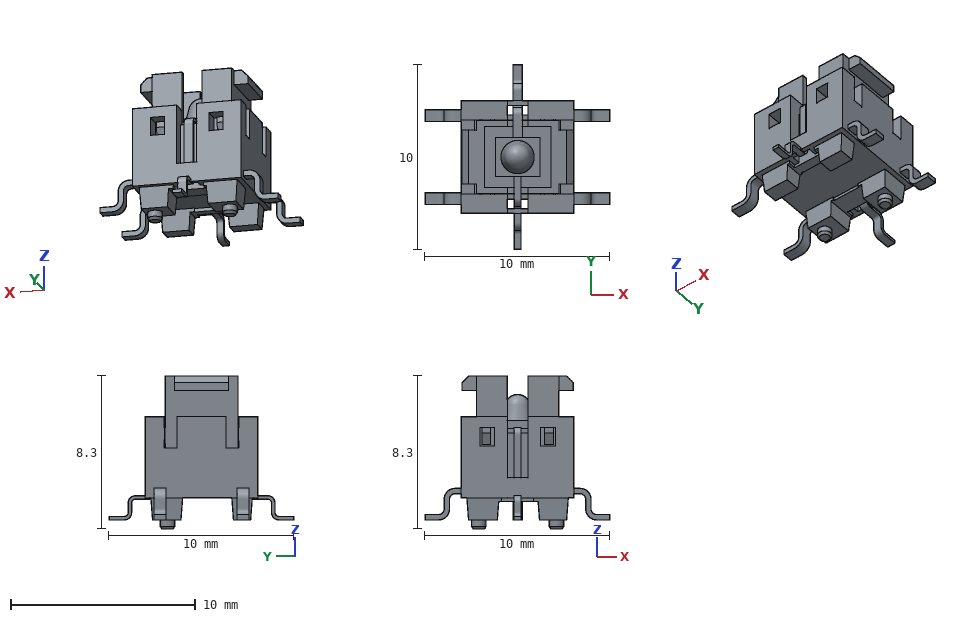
import cadquery as cq
import math


BODY_SIZE = 6.1
BODY_BOTTOM = 1.2
BODY_TOP = 5.6
BODY_HALF = BODY_SIZE / 2

NOTCH_INNER_Y = 1.33
NOTCH_FLOOR = 3.9

PLUNGER_X = 4.47
PLUNGER_Y = 3.95
PLUNGER_TOP = 7.8
POCKET_X = 3.6
POCKET_Y = 3.3
POCKET_FLOOR = NOTCH_FLOOR
PLUNGER_SLOT_FLOOR = 4.95

CAVITY_X = 4.66
CAVITY_Y = 4.02
CAVITY_FLOOR = 2.29

SLOT_WIDTH = 1.11
SLOT_FLOOR = CAVITY_FLOOR
PARTITION_TOP = 4.71
CHANNEL_INNER_Y = 2.29
CHANNEL_OUTER_Y = 2.79

WINDOW_CENTRE_X = 1.645
WINDOW_WIDTH = 0.79
WINDOW_BOTTOM = 4.0
WINDOW_TOP = 5.02
LATCH_CENTRE_X = 1.7
LATCH_WIDTH = 0.48
LATCH_BOTTOM = 4.1
LATCH_BEND = PARTITION_TOP
LATCH_REACH = 0.2

HOOK_TIP_X = 3.02
HOOK_LENGTH = 2.92
HOOK_BOTTOM = 7.0
HOOK_CHAMFER = 0.37

LED_X = 2.4
LED_Y = 2.1
LED_TOP = 5.39
LENS_BASE_RADIUS = 0.9
LENS_RIM_RADIUS = 0.68
LENS_RIM_Z = 6.26
LENS_TIP_Z = 6.8

LEAD_TIP = 5.0
LEAD_OUTER_FACE = 3.98
SWITCH_LEAD_TOP = 1.72
SWITCH_LEAD_THICKNESS = 0.3
SWITCH_LEAD_WIDTH = 0.65
SWITCH_LEAD_Y = 2.25
SWITCH_LEAD_ROOT = BODY_HALF - 0.1
LED_LEAD_TOP = 1.32
LED_LEAD_THICKNESS = 0.2
LED_LEAD_FRONT_WIDTH = 0.38
LED_LEAD_REAR_WIDTH = 0.51
LED_LEAD_DROP_FACE = 2.67
LED_LEAD_HEAD_TOP = WINDOW_TOP

FOOT_TAPER = 0.09
LEFT_FOOT_INNER_X = 1.0
RIGHT_FOOT_INNER_X = 1.09
FOOT_OUTER = 2.75
FRONT_FOOT_INNER_Y = 1.63
REAR_FOOT_INNER_Y = 1.02
WEB_BOTTOM = 1.0
SHOULDER_INNER_X = 0.86
PEG_RADIUS = 0.4
PEG_LENGTH = 0.5
PEG_X = 2.1
PEG_Y = 1.85
PEG_TIP_RADIUS = 0.3
PEG_TIP_HEIGHT = 0.16


def span_box(x0, x1, y0, y1, z0, z1):
    """Box between two opposite corners."""
    size = (x1 - x0, y1 - y0, z1 - z0)
    return cq.Workplane("XY").box(*size, centered=False).translate((x0, y0, z0))


def centred_box(size_x, size_y, z0, z1):
    """Box centred on the Z axis."""
    return span_box(-size_x / 2, size_x / 2, -size_y / 2, size_y / 2, z0, z1)


def y_span_box(width, side, near, far, z0, z1, x=0):
    """Box of the given X width, from |y| = near to |y| = far on one side of the part."""
    y0, y1 = sorted((side * near, side * far))
    return span_box(x - width / 2, x + width / 2, y0, y1, z0, z1)


def make_housing():
    housing = centred_box(BODY_SIZE, BODY_SIZE, BODY_BOTTOM, BODY_TOP)
    housing = housing.cut(centred_box(CAVITY_X, CAVITY_Y, CAVITY_FLOOR, BODY_TOP))
    for side in (-1, 1):
        housing = housing.cut(
            y_span_box(BODY_SIZE, side, NOTCH_INNER_Y, CAVITY_Y / 2, NOTCH_FLOOR, BODY_TOP)
        )
        housing = housing.cut(
            y_span_box(SLOT_WIDTH, side, CAVITY_Y / 2, BODY_HALF, PARTITION_TOP, BODY_TOP)
        )
        housing = housing.cut(
            y_span_box(SLOT_WIDTH, side, CHANNEL_INNER_Y, BODY_HALF, SLOT_FLOOR, BODY_TOP)
        )
        housing = housing.cut(
            y_span_box(SLOT_WIDTH, side, CHANNEL_INNER_Y, CHANNEL_OUTER_Y, BODY_BOTTOM, BODY_TOP)
        )
        for x in (-WINDOW_CENTRE_X, WINDOW_CENTRE_X):
            housing = housing.cut(
                y_span_box(WINDOW_WIDTH, side, PLUNGER_Y / 2, BODY_HALF, WINDOW_BOTTOM, WINDOW_TOP, x)
            )
    return housing


def make_hook():
    """Hook at the +X side, chamfered along its upper outer edge."""
    root = POCKET_X / 2
    return (
        cq.Workplane("XZ")
        .moveTo(root, HOOK_BOTTOM)
        .lineTo(HOOK_TIP_X, HOOK_BOTTOM)
        .lineTo(HOOK_TIP_X, PLUNGER_TOP - HOOK_CHAMFER)
        .lineTo(HOOK_TIP_X - HOOK_CHAMFER, PLUNGER_TOP)
        .lineTo(root, PLUNGER_TOP)
        .close()
        .extrude(HOOK_LENGTH / 2, both=True)
    )


def make_latch(x):
    """Latch on the -Y face of the plunger, with a sloping underside."""
    face = -PLUNGER_Y / 2
    return (
        cq.Workplane("YZ", origin=(x, 0, 0))
        .moveTo(face, LATCH_BOTTOM)
        .lineTo(face - LATCH_REACH, LATCH_BEND)
        .lineTo(face - LATCH_REACH, WINDOW_TOP)
        .lineTo(face, WINDOW_TOP)
        .close()
        .extrude(LATCH_WIDTH / 2, both=True)
    )


def make_plunger():
    plunger = centred_box(PLUNGER_X, PLUNGER_Y, CAVITY_FLOOR, PLUNGER_TOP)
    hook = make_hook()
    plunger = plunger.union(hook).union(hook.mirror("YZ"))
    plunger = plunger.cut(centred_box(POCKET_X, POCKET_Y, POCKET_FLOOR, PLUNGER_TOP))
    for side in (-1, 1):
        plunger = plunger.cut(
            y_span_box(SLOT_WIDTH, side, POCKET_Y / 2, PLUNGER_Y / 2, PLUNGER_SLOT_FLOOR, PLUNGER_TOP)
        )
    for x in (-LATCH_CENTRE_X, LATCH_CENTRE_X):
        latch = make_latch(x)
        plunger = plunger.union(latch).union(latch.mirror("XZ"))
    return plunger


def make_led():
    """LED block with a conical lens that ends in a spherical cap."""
    cap_height = LENS_TIP_Z - LENS_RIM_Z
    cap_radius = (LENS_RIM_RADIUS**2 + cap_height**2) / (2 * cap_height)
    cap_centre = LENS_TIP_Z - cap_radius
    middle_angle = math.asin(LENS_RIM_RADIUS / cap_radius) / 2
    middle_x = cap_radius * math.sin(middle_angle)
    middle_z = cap_centre + cap_radius * math.cos(middle_angle)
    lens = (
        cq.Workplane("XZ")
        .moveTo(0, LED_TOP)
        .lineTo(LENS_BASE_RADIUS, LED_TOP)
        .lineTo(LENS_RIM_RADIUS, LENS_RIM_Z)
        .threePointArc((middle_x, middle_z), (0, LENS_TIP_Z))
        .close()
        .revolve(360, (0, 0, 0), (0, 1, 0))
    )
    return centred_box(LED_X, LED_Y, POCKET_FLOOR, LED_TOP).union(lens)


def make_strip(points, thickness, width):
    """Strip bent along a centreline in the XZ plane.

    The inner radius of every bend equals the strip thickness.
    """
    bend_radius = thickness + thickness / 2
    path = cq.Workplane("XZ").moveTo(*points[0])
    for before, corner, after in zip(points, points[1:], points[2:]):
        toward = [cq.Vector(*p) - cq.Vector(*corner) for p in (before, after)]
        entry, leave = [cq.Vector(*corner) + v.normalized() * bend_radius for v in toward]
        path = path.lineTo(entry.x, entry.y)
        path = path.tangentArcPoint((leave.x, leave.y), relative=False)
    path = path.lineTo(*points[-1])
    start_x, start_z = points[0]
    section = cq.Workplane("YZ", origin=(start_x, 0, start_z)).rect(width, thickness)
    return section.sweep(path)


def make_switch_leads():
    half = SWITCH_LEAD_THICKNESS / 2
    drop_x = LEAD_OUTER_FACE - half
    points = [
        (SWITCH_LEAD_ROOT, SWITCH_LEAD_TOP - half),
        (drop_x, SWITCH_LEAD_TOP - half),
        (drop_x, half),
        (LEAD_TIP, half),
    ]
    lead = make_strip(points, SWITCH_LEAD_THICKNESS, SWITCH_LEAD_WIDTH)
    pair = lead.union(lead.mirror("YZ"))
    return [pair.translate((0, y, 0)) for y in (-SWITCH_LEAD_Y, SWITCH_LEAD_Y)]


def make_led_lead(width, angle):
    """Lead from the LED, down the housing slot, out under the wall and down to the board."""
    half = LED_LEAD_THICKNESS / 2
    inner_drop = LED_LEAD_DROP_FACE - half
    outer_drop = LEAD_OUTER_FACE - half
    points = [
        (0, LED_LEAD_HEAD_TOP - half),
        (inner_drop, LED_LEAD_HEAD_TOP - half),
        (inner_drop, LED_LEAD_TOP - half),
        (outer_drop, LED_LEAD_TOP - half),
        (outer_drop, half),
        (LEAD_TIP, half),
    ]
    lead = make_strip(points, LED_LEAD_THICKNESS, width)
    return lead.rotate((0, 0, 0), (0, 0, 1), angle)


def make_foot(x_side, y_side, inner_x, inner_y):
    """Tapered foot under one corner of the housing."""
    size_x = FOOT_OUTER - inner_x
    size_y = FOOT_OUTER - inner_y
    centre_x = x_side * (FOOT_OUTER + inner_x) / 2
    centre_y = y_side * (FOOT_OUTER + inner_y) / 2
    return (
        cq.Workplane("XY", origin=(centre_x, centre_y, 0))
        .rect(size_x - 2 * FOOT_TAPER, size_y - 2 * FOOT_TAPER)
        .workplane(offset=BODY_BOTTOM)
        .rect(size_x, size_y)
        .loft(ruled=True)
    )


def make_shoulder(x_side, y_side, inner_y):
    """Thin inward extension of a foot, flush with its tapered outer and inner Y faces."""
    taper = FOOT_TAPER * (BODY_BOTTOM - WEB_BOTTOM) / BODY_BOTTOM
    foot_middle_x = (FOOT_OUTER + RIGHT_FOOT_INNER_X) / 2
    return (
        cq.Workplane("YZ", origin=(x_side * SHOULDER_INNER_X, 0, 0))
        .moveTo(y_side * inner_y, BODY_BOTTOM)
        .lineTo(y_side * (inner_y + taper), WEB_BOTTOM)
        .lineTo(y_side * (FOOT_OUTER - taper), WEB_BOTTOM)
        .lineTo(y_side * FOOT_OUTER, BODY_BOTTOM)
        .close()
        .extrude(x_side * (foot_middle_x - SHOULDER_INNER_X))
    )


def make_peg(x):
    shank_end = PEG_TIP_HEIGHT - PEG_LENGTH
    return (
        cq.Workplane("XZ", origin=(x, PEG_Y, 0))
        .moveTo(0, 0)
        .lineTo(PEG_RADIUS, 0)
        .lineTo(PEG_RADIUS, shank_end)
        .lineTo(PEG_TIP_RADIUS, -PEG_LENGTH)
        .lineTo(0, -PEG_LENGTH)
        .close()
        .revolve(360, (0, 0, 0), (0, 1, 0))
    )


def make_base_features():
    """Feet, their shoulders and webs, and the pegs under the rear feet."""
    features = []
    for y_side, inner_y in ((-1, FRONT_FOOT_INNER_Y), (1, REAR_FOOT_INNER_Y)):
        for x_side, inner_x in ((-1, LEFT_FOOT_INNER_X), (1, RIGHT_FOOT_INNER_X)):
            features.append(make_foot(x_side, y_side, inner_x, inner_y))
            features.append(make_shoulder(x_side, y_side, inner_y))
        web_inner_y = inner_y + FOOT_TAPER
        features.append(
            y_span_box(2 * SHOULDER_INNER_X, y_side, web_inner_y, CHANNEL_INNER_Y, WEB_BOTTOM, BODY_BOTTOM)
        )
    for x in (-PEG_X, PEG_X):
        features.append(make_peg(x))
    return features


parts = [make_plunger(), make_led()]
parts += make_switch_leads()
parts.append(make_led_lead(LED_LEAD_FRONT_WIDTH, -90))
parts.append(make_led_lead(LED_LEAD_REAR_WIDTH, 90))
parts += make_base_features()

result = make_housing()
for part in parts:
    result = result.union(part)